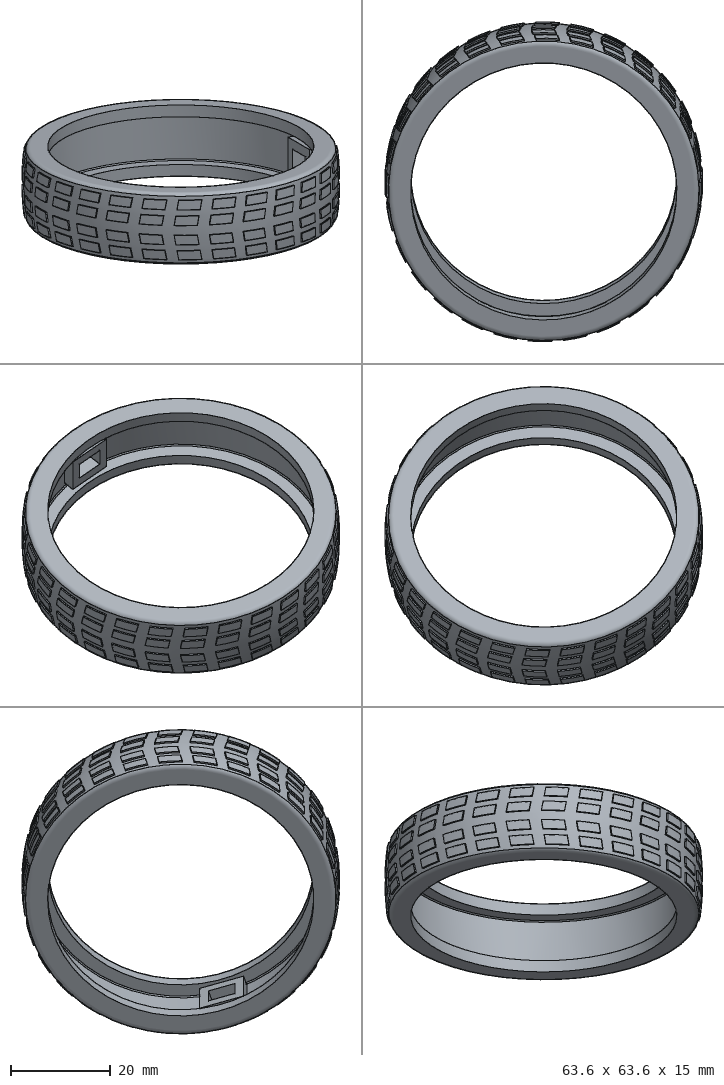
import cadquery as cq
import math

width = 15.0
mid_height = width / 2
overall_radius = 31.8

bore_radius = 53.25 / 2
groove_radius = 59.0 / 2
lip_thickness = 2.5
groove_chamfer = 0.25

pads_per_row = 28
pad_thickness = 0.3
pad_length = 4.65
pad_height = 2.0
inner_row_offset = 2.05
outer_row_offset = 5.3
row_offsets = (-outer_row_offset, -inner_row_offset, inner_row_offset, outer_row_offset)
pad_slant = math.tan(math.radians(10))
slant_origin = 2.15
pad_root_distance = 30.55
trim_allowance = 0.65

side_face_radius = 30.1
shoulder_height = 0.5
crown_edge_height = mid_height - shoulder_height
crown_drop = 0.45
crown_arc_radius = (crown_edge_height**2 + crown_drop**2) / (2 * crown_drop)
nearest_pad_edge = inner_row_offset - pad_height / 2
drop_at_pad_edge = crown_arc_radius - math.sqrt(crown_arc_radius**2 - nearest_pad_edge**2)
crown_radius = overall_radius - pad_thickness + drop_at_pad_edge
shoulder_radius = crown_radius - crown_drop

lug_width = 9.2
lug_height = 8.0
lug_face_y = 26.7
lug_root_y = 30.5
socket_width = 5.55
socket_height = 4.0
socket_floor_y = 29.8


def crowned_disc(growth):
    """Solid disc with the crowned outer profile, enlarged radially by growth."""
    shoulder_end = shoulder_radius + growth
    side_end = side_face_radius + growth
    shoulder_run = shoulder_end - side_end
    round_radius = (shoulder_run**2 + shoulder_height**2) / (2 * shoulder_height)
    half_turn = math.asin(shoulder_run / round_radius) / 2
    mid_round_r = side_end + round_radius * math.sin(half_turn)
    mid_round_z = mid_height - round_radius * (1 - math.cos(half_turn))
    return (
        cq.Workplane("XZ")
        .moveTo(0, -mid_height)
        .lineTo(side_end, -mid_height)
        .threePointArc((mid_round_r, -mid_round_z), (shoulder_end, -crown_edge_height))
        .threePointArc((crown_radius + growth, 0), (shoulder_end, crown_edge_height))
        .threePointArc((mid_round_r, mid_round_z), (side_end, mid_height))
        .lineTo(0, mid_height)
        .close()
        .revolve(360, (0, 0, 0), (0, 1, 0))
        .translate((0, 0, mid_height))
    )


def bore():
    """Bore with a wide groove between two lips; the groove corners are chamfered."""
    groove_top = width - lip_thickness
    chamfer_start = groove_radius - groove_chamfer
    return (
        cq.Workplane("XZ")
        .polyline([
            (0, 0),
            (bore_radius, 0),
            (bore_radius, lip_thickness),
            (chamfer_start, lip_thickness),
            (groove_radius, lip_thickness + groove_chamfer),
            (groove_radius, groove_top - groove_chamfer),
            (chamfer_start, groove_top),
            (bore_radius, groove_top),
            (bore_radius, width),
            (0, width),
        ])
        .close()
        .revolve(360, (0, 0, 0), (0, 1, 0))
    )


def pad_bar(row_offset):
    """Slanted radial bar pointing to -Y; its outer end becomes a tread pad."""
    def corner(side, level):
        z = row_offset + level * pad_height / 2
        x = side * pad_length / 2 + (abs(z) - slant_origin) * pad_slant
        return x, z

    return (
        cq.Workplane("XZ", origin=(0, -pad_root_distance, mid_height))
        .polyline([corner(-1, -1), corner(1, -1), corner(1, 1), corner(-1, 1)])
        .close()
        .extrude(overall_radius - pad_root_distance + trim_allowance)
    )


def tread_pads():
    """All pads: radial bars trimmed to a skin that follows the crown."""
    envelope = crowned_disc(pad_thickness)
    pads = []
    for row_offset in row_offsets:
        pad = pad_bar(row_offset).intersect(envelope).val()
        for index in range(pads_per_row):
            pads.append(pad.rotate((0, 0, 0), (0, 0, 1), index * 360 / pads_per_row))
    return pads


def groove_block(width_x, height_z, start_y, end_y):
    """Block at mid height, centred on the YZ plane, spanning start_y to end_y."""
    return (
        cq.Workplane("XY")
        .box(width_x, end_y - start_y, height_z, centered=(True, False, True))
        .translate((0, start_y, mid_height))
    )


lug = groove_block(lug_width, lug_height, lug_face_y, lug_root_y)
socket = groove_block(socket_width, socket_height, lug_face_y, socket_floor_y)

ring = crowned_disc(0).cut(bore()).union(lug).cut(socket)
tyre = ring.val().fuse(*tread_pads())
result = cq.Workplane("XY").newObject(tyre.Solids())